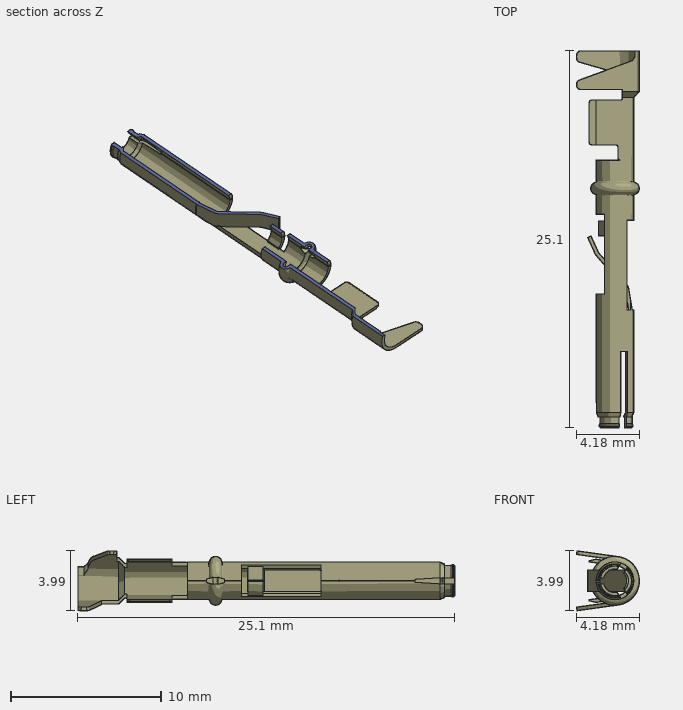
import cadquery as cq
import math


sheet = 0.25
length = 25.1
barrel_radius = 1.25
bore_radius = barrel_radius - sheet
barrel_end = 17.82
seam_width = 0.05
clear = 7.53

tip_bore_radius = 0.78
tip_bore_depth = 0.78
neck_radius = 1.03
lip_radius = 1.08
lip_start = 0.18
lip_chamfer = 0.1
neck_start = 0.7
shoulder_start = 1.0
shoulder_radius = 1.13
finger_slot_width = 0.5
finger_slot_end = 5.07
finger_slot_angle = 60.0
finger_lift = 0.13
seam_flare_start = 2.65
seam_flare_half_widths = (0.1, 0.2)

bead_y = 15.95
bead_radius = 1.63
bead_half_length = 0.4
bead_fillet = 0.08
bead_groove_radius = 0.18
bead_groove_centre = 1.23
bead_gap_half_length = 0.6
bead_gap_end_half_width = 0.113
bead_gap_half_width = 0.23

window_start = 8.9
window_end = 14.2
window_x = -0.7
bridge_start = 12.78
bridge_end = 13.78
bridge_sink = 0.15
bridge_overlap = 0.2
lance_window_start = 7.85
lance_window_end = 13.8
lance_window_x = 0.8
lance_half_width = 0.73
lance_path = [(1.05, 7.73), (0.78, 9.35), (-1.18, 11.57), (-1.7, 12.73)]
lance_root_bend = 0.38
lance_tip_bend = 0.63

ear_angle = math.radians(7.9)
wire_ear_start = 18.82
wire_ear_end = 21.84
wire_ear_tip_x = -1.73
wire_ear_corner = 0.23
wire_cut_x = 0.2
wire_coin_length = 0.43
wire_tip_thickness = 0.08
neck_cut_x = 0.48
cut_corner = 0.15
cone_start = 22.0
cone_end = 22.4
insulation_start = 22.51
insulation_radius = 1.63
insulation_tip_x = -2.55
insulation_ear_corner = 0.3
upper_tip_end = 23.1
upper_ear_root = [(1.15, 24.45), (1.33, 24.7)]
lower_tip_start = 24.4
lower_ear_root = (neck_cut_x, 23.52)


def block(x0, x1, y0, y1, z0, z1):
    """Axis-aligned box between opposite corners."""
    return cq.Workplane("XY").box(x1 - x0, y1 - y0, z1 - z0, centered=False).translate((x0, y0, z0))


def plate(points, z0, z1, corners=()):
    """XY outline extruded from z0 to z1, with each (point, radius) corner rounded."""
    solid = cq.Workplane("XY").workplane(offset=z0).polyline(points).close().extrude(z1 - z0)
    for (x, y), radius in corners:
        nearest = cq.selectors.NearestToPointSelector((x, y, (z0 + z1) / 2))
        solid = solid.edges("|Z").edges(nearest).fillet(radius)
    return solid


def revolve_about_y(points):
    """Solid of revolution about Y from (radius, y) points."""
    return cq.Workplane("XY").polyline(points).close().revolve(360, (0, 0, 0), (0, 1, 0))


def ring(outer, inner, y0, y1):
    """Plain tube along Y."""
    return cq.Workplane("XZ", origin=(0, y0, 0)).circle(outer).circle(inner).extrude(y0 - y1)


def radial_window(edge_x, y0, y1):
    """Wedge for a wall opening with radial sides that meet the outer wall at x = edge_x."""
    edge_z = math.sqrt(barrel_radius**2 - edge_x**2)
    spread = clear / barrel_radius
    corners = [(0, 0), (edge_x * spread, edge_z * spread), (edge_x * spread, -edge_z * spread)]
    return cq.Workplane("XZ", origin=(0, y0, 0)).polyline(corners).close().extrude(y0 - y1)


def make_tip():
    """Necked mating tip with a lip, pinched from the barrel at its shoulder."""
    return (
        cq.Workplane("XY")
        .moveTo(tip_bore_radius, 0)
        .lineTo(lip_radius - lip_chamfer, 0)
        .lineTo(lip_radius, lip_chamfer)
        .lineTo(lip_radius, lip_start)
        .lineTo(neck_radius, lip_start + lip_chamfer)
        .lineTo(neck_radius, neck_start)
        .lineTo(shoulder_radius, neck_start)
        .lineTo(barrel_radius, shoulder_start)
        .lineTo(bore_radius, shoulder_start)
        .lineTo(tip_bore_radius, tip_bore_depth)
        .close()
        .revolve(360, (0, 0, 0), (0, 1, 0))
    )


def make_fingers():
    """Tip split so that its +X third is lifted outward."""
    tip = make_tip()
    reach = clear * math.sin(math.radians(finger_slot_angle))
    side = clear * math.cos(math.radians(finger_slot_angle))
    sector = (
        cq.Workplane("XZ")
        .polyline([(0, 0), (side, -reach), (side, reach)])
        .close()
        .extrude(-neck_start)
    )
    lifted = tip.intersect(sector).translate((finger_lift, 0, 0))
    return tip.cut(sector).union(lifted)


def make_bead():
    """Domed ridge around the barrel, filleted where it leaves the wall."""
    wall_half_length = bead_half_length + bead_fillet
    dome_base = barrel_radius + bead_fillet
    return (
        cq.Workplane("XY")
        .moveTo(bore_radius, bead_y - wall_half_length)
        .lineTo(barrel_radius, bead_y - wall_half_length)
        .radiusArc((dome_base, bead_y - bead_half_length), bead_fillet)
        .threePointArc((bead_radius, bead_y), (dome_base, bead_y + bead_half_length))
        .radiusArc((barrel_radius, bead_y + wall_half_length), bead_fillet)
        .lineTo(bore_radius, bead_y + wall_half_length)
        .close()
        .revolve(360, (0, 0, 0), (0, 1, 0))
    )


def make_bead_groove():
    """Round-bottomed groove inside the bore, behind the bead."""
    groove = (
        cq.Workplane("XY")
        .moveTo(0, bead_y - bead_groove_radius)
        .lineTo(bead_groove_centre, bead_y - bead_groove_radius)
        .radiusArc((bead_groove_centre, bead_y + bead_groove_radius), -bead_groove_radius)
        .lineTo(0, bead_y + bead_groove_radius)
        .close()
    )
    return groove.revolve(360, (0, 0, 0), (0, 1, 0))


def make_seam():
    """Seam cut, widened at the bead and toward the tip."""
    half = seam_width / 2
    narrow, wide = seam_flare_half_widths
    tip_side = [
        (0, wide),
        (shoulder_start, wide),
        (seam_flare_start, narrow),
        (seam_flare_start, half),
    ]
    bead_side = [
        (bead_y - bead_gap_half_length, half),
        (bead_y - bead_gap_half_length, bead_gap_end_half_width),
        (bead_y - bead_half_length / 2, bead_gap_half_width),
        (bead_y + bead_half_length / 2, bead_gap_half_width),
        (bead_y + bead_gap_half_length, bead_gap_end_half_width),
        (bead_y + bead_gap_half_length, half),
    ]
    upper = tip_side + bead_side + [(barrel_end, half)]
    lower = [(y, -z) for y, z in reversed(upper)]
    return cq.Workplane("YZ").polyline(upper + lower).close().extrude(-clear)


def make_finger_slot(sign):
    """Radial slot through the tip wall, turned from +X toward -Z (sign 1) or +Z (sign -1)."""
    slot = block(0, clear, 0, finger_slot_end, -finger_slot_width / 2, finger_slot_width / 2)
    return slot.rotate((0, 0, 0), (0, 1, 0), sign * finger_slot_angle)


def make_bridge():
    """Strap of barrel wall pressed inward between the two -X openings."""
    strap = ring(barrel_radius, bore_radius, bridge_start, bridge_end).translate((bridge_sink, 0, 0))
    keep = block(-clear, window_x + bridge_overlap, bridge_start, bridge_end, -clear, clear)
    seam = block(-clear, 0, bridge_start, bridge_end, -seam_width / 2, seam_width / 2)
    return strap.intersect(keep).cut(seam)


def offset_sides(points, distance):
    """Mitred offsets of an open polyline on both of its sides."""
    headings = [math.atan2(b[1] - a[1], b[0] - a[0]) for a, b in zip(points, points[1:])]
    before = headings[:1] + headings
    after = headings + headings[-1:]
    left = []
    right = []
    for (x, y), arriving, leaving in zip(points, before, after):
        normal = (arriving + leaving) / 2 + math.pi / 2
        reach = distance / math.cos((leaving - arriving) / 2)
        dx = reach * math.cos(normal)
        dy = reach * math.sin(normal)
        left.append((x + dx, y + dy))
        right.append((x - dx, y - dy))
    return left, right


def make_lance():
    """Spring lance bent from the +X wall, crossing the bore and leaving through the -X window."""
    left, right = offset_sides(lance_path, sheet / 2)
    bends = [
        (left[1], lance_root_bend),
        (right[1], lance_root_bend + sheet),
        (right[2], lance_tip_bend),
        (left[2], lance_tip_bend + sheet),
    ]
    strip = plate(left + right[::-1], -lance_half_width, lance_half_width, bends)
    outside = block(0, clear, 0, length, -clear, clear)
    outside = outside.cut(cq.Workplane("XZ").circle(barrel_radius).extrude(-length))
    return strip.cut(outside)


def make_trough(radius, tip_x, y0, y1, coin_length=0.0, tip_thickness=sheet):
    """U-shaped sheet: an arc about Y with straight ears tangent to it, optionally coined at the tips."""
    sine = math.sin(ear_angle)
    cosine = math.cos(ear_angle)
    inner = radius - sheet
    ear_length = (inner * sine - tip_x) / cosine

    def ear_point(along, depth):
        """Point of the upper ear, measured from its tangent line and below its outer face."""
        level = radius - depth
        return (level * sine - along * cosine, level * cosine + along * sine)

    def mirrored(point):
        return (point[0], -point[1])

    outer_start = ear_point(0, 0)
    inner_start = ear_point(0, sheet)
    end = [ear_point(ear_length, sheet - tip_thickness), ear_point(ear_length, sheet)]
    if coin_length > 0:
        end.insert(0, ear_point(ear_length - coin_length, 0))

    outline = cq.Workplane("XZ", origin=(0, y0, 0)).moveTo(*inner_start)
    for point in reversed(end):
        outline = outline.lineTo(*point)
    outline = outline.lineTo(*outer_start).threePointArc((radius, 0), mirrored(outer_start))
    for point in end:
        outline = outline.lineTo(*mirrored(point))
    outline = outline.lineTo(*mirrored(inner_start)).threePointArc((inner, 0), inner_start)
    return outline.close().extrude(y0 - y1)


def make_wire_crimp():
    """Wire crimp with two rectangular ears, coined thin along their tips."""
    trough = make_trough(
        barrel_radius, wire_ear_tip_x, barrel_end, cone_start, wire_coin_length, wire_tip_thickness
    )
    outline = [
        (clear, barrel_end),
        (wire_cut_x, barrel_end),
        (wire_cut_x, wire_ear_start),
        (wire_ear_tip_x, wire_ear_start),
        (wire_ear_tip_x, wire_ear_end),
        (neck_cut_x, wire_ear_end),
        (neck_cut_x, cone_start),
        (clear, cone_start),
    ]
    corners = [
        (outline[1], cut_corner),
        (outline[2], cut_corner),
        (outline[3], wire_ear_corner),
        (outline[4], wire_ear_corner),
        (outline[5], cut_corner / 2),
    ]
    keep = plate(outline, -clear, clear, corners)
    return trough.intersect(keep)


def make_neck():
    """Open cone joining the wire crimp to the wider insulation crimp."""
    cone = revolve_about_y(
        [
            (bore_radius, cone_start),
            (barrel_radius, cone_start),
            (insulation_radius, cone_end),
            (insulation_radius - sheet, cone_end),
        ]
    )
    return cone.intersect(block(neck_cut_x, clear, cone_start, cone_end, -clear, clear))


def make_insulation_crimp():
    """Insulation crimp with two pointed ears, staggered along Y."""
    trough = make_trough(insulation_radius, insulation_tip_x, cone_end, length)
    base = [(clear, cone_end), (neck_cut_x, cone_end)]
    end = (clear, length)
    upper_tip = [(insulation_tip_x, insulation_start), (insulation_tip_x, upper_tip_end)]
    upper_side = [*upper_ear_root, (upper_ear_root[-1][0], length)]
    upper_outline = [*base, (neck_cut_x, insulation_start), *upper_tip, *upper_side, end]
    lower_tip = [(insulation_tip_x, lower_tip_start), (insulation_tip_x, length)]
    lower_outline = [*base, lower_ear_root, *lower_tip, end]
    upper = plate(upper_outline, 0, clear, [(point, insulation_ear_corner) for point in upper_tip])
    lower = plate(lower_outline, -clear, 0, [(point, insulation_ear_corner) for point in lower_tip])
    return trough.intersect(upper.union(lower))


barrel = ring(barrel_radius, bore_radius, shoulder_start, barrel_end)
contact = barrel.union(make_fingers()).union(make_bead()).cut(make_bead_groove()).cut(make_seam())
for side in (1, -1):
    contact = contact.cut(make_finger_slot(side))
contact = contact.cut(radial_window(window_x, window_start, window_end))
contact = contact.cut(block(lance_window_x, clear, lance_window_start, lance_window_end, -clear, clear))
for feature in (make_bridge(), make_lance(), make_wire_crimp(), make_neck(), make_insulation_crimp()):
    contact = contact.union(feature)

result = contact